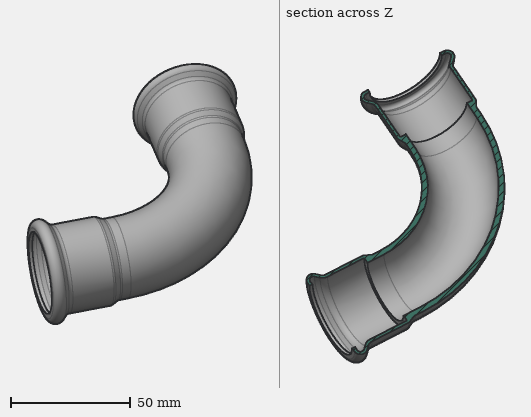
import cadquery as cq
import math

overall_length = 109.4
bead_radius = 22.36
socket_radius = 19.0
pipe_radius = 17.4
pipe_bore_radius = 14.8
wall = 1.5
bead_round = 3.01
neck_fillet = 2.6
bead_slope = math.radians(45)
shoulder_slope = math.radians(27)
shoulder_fillet = 2.0
socket_depth = 26.6
bend_depth = 34.4

mouth_distance = overall_length - bead_radius
bend_radius = mouth_distance - bend_depth
socket_bore_radius = socket_radius - wall

bead_center = (bead_round, bead_radius - bead_round)
neck_center_radius = socket_radius + neck_fillet
radial_gap = neck_center_radius - bead_center[1]
neck_center_depth = bead_center[0] + (
    bead_round + neck_fillet - radial_gap * math.cos(bead_slope)
) / math.sin(bead_slope)
neck_center = (neck_center_depth, neck_center_radius)

shoulder_drop = socket_radius - pipe_radius
fillet_run = shoulder_fillet * math.sin(shoulder_slope)
fillet_drop = shoulder_fillet * (1 - math.cos(shoulder_slope))
cone_run = (shoulder_drop - 2 * fillet_drop) / math.tan(shoulder_slope)
shoulder_end = socket_depth + 2 * fillet_run + cone_run


def arc_point(center, radius, angle):
    """Point on a circle, with the angle measured from the depth direction."""
    return (center[0] + radius * math.cos(angle), center[1] + radius * math.sin(angle))


def add_bead_and_neck(section, offset):
    """Add the bead, slope and neck curves, set inward by the given offset."""
    bead = bead_round - offset
    neck = neck_fillet + offset
    normal = math.pi / 2 - bead_slope
    neck_start = normal + math.pi
    neck_end = 1.5 * math.pi
    return (
        section
        .threePointArc(
            arc_point(bead_center, bead, (math.pi + normal) / 2),
            arc_point(bead_center, bead, normal),
        )
        .lineTo(*arc_point(neck_center, neck, neck_start))
        .threePointArc(
            arc_point(neck_center, neck, (neck_start + neck_end) / 2),
            arc_point(neck_center, neck, neck_end),
        )
    )


def revolve_section(section):
    """Revolve a section about the X axis and place its mouth at the -X end."""
    solid = section.close().revolve(360, (0, 0, 0), (1, 0, 0))
    return solid.translate((-mouth_distance, 0, 0))


def arm_body():
    """Outside of one arm, from its mouth to the bend."""
    section = cq.Workplane("XY").lineTo(0, bead_center[1])
    section = add_bead_and_neck(section, 0)
    upper_center = (socket_depth, socket_radius - shoulder_fillet)
    lower_center = (shoulder_end, pipe_radius + shoulder_fillet)
    upright = math.pi / 2
    half_slope = shoulder_slope / 2
    section = (
        section
        .lineTo(socket_depth, socket_radius)
        .threePointArc(
            arc_point(upper_center, shoulder_fillet, upright - half_slope),
            arc_point(upper_center, shoulder_fillet, upright - shoulder_slope),
        )
        .lineTo(*arc_point(lower_center, shoulder_fillet, -upright - shoulder_slope))
        .threePointArc(
            arc_point(lower_center, shoulder_fillet, -upright - half_slope),
            (shoulder_end, pipe_radius),
        )
        .lineTo(bend_depth, pipe_radius)
        .lineTo(bend_depth, 0)
    )
    return revolve_section(section)


def arm_bore():
    """Space inside one arm: mouth, seal groove, socket, stop and pipe bore."""
    section = (
        cq.Workplane("XY")
        .lineTo(0, socket_bore_radius)
        .lineTo(wall, socket_bore_radius)
        .lineTo(wall, bead_center[1])
    )
    section = (
        add_bead_and_neck(section, wall)
        .lineTo(socket_depth, socket_bore_radius)
        .lineTo(socket_depth, pipe_bore_radius)
        .lineTo(bend_depth, pipe_bore_radius)
        .lineTo(bend_depth, 0)
    )
    return revolve_section(section)


def bend(radius):
    """Quarter torus joining the two arms."""
    return (
        cq.Workplane("YZ", origin=(-bend_radius, 0, 0))
        .circle(radius)
        .revolve(90, (-bend_radius, 1.1, 0), (-bend_radius, 0, 0))
    )


def elbow(arm, bend_section_radius):
    """Join an arm, its copy turned toward -Y, and the bend between them."""
    turned_arm = arm.rotate((0, 0, 0), (0, 0, 1), 90)
    return arm.union(bend(bend_section_radius)).union(turned_arm)


result = elbow(arm_body(), pipe_radius).cut(elbow(arm_bore(), pipe_bore_radius))